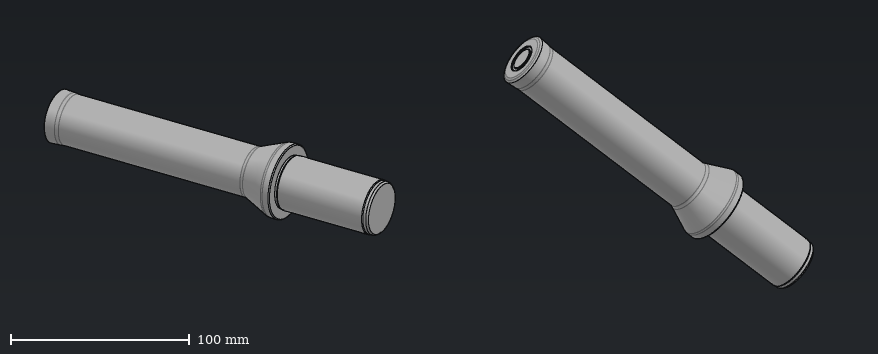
import cadquery as cq

total_length = 211.0
face_rim_end = 0.5
nose_edge_end = 1.3
nose_taper_end = 7.5
barrel_start = 10.0
cone_blend_start = 127.7
cone_start = 129.8
cone_end = 145.0
flange_start = 146.2
flange_back = 150.7
relief_end = 152.0
shank_start = 152.5
shank_end = 207.2
pilot_start = 207.8

face_diameter = 26.2
face_rim_diameter = 29.0
nose_diameter = 31.5
barrel_diameter = 30.0
flange_diameter = 44.0
relief_diameter = 31.5
shank_diameter = 32.0
pilot_diameter = 31.5

nose_taper_drop = 0.5
cone_blend_rise = 0.6
flange_blend_rise = 0.2
flange_edge = 0.6
pilot_chamfer = 1.3
pilot_chamfer_drop = 0.8

recess_diameter = 16.0
recess_depth = 0.6
recess_chamfer = 0.5
plug_diameter = 13.3
plug_chamfer = 0.5
plug_length = 8.5


def make_body():
    """Stepped spindle: tapered nose, barrel, conical flange and shank."""
    barrel_radius = barrel_diameter / 2
    nose_radius = nose_diameter / 2
    flange_radius = flange_diameter / 2
    pilot_radius = pilot_diameter / 2
    profile = (
        cq.Workplane("XY")
        .moveTo(0, 0)
        .lineTo(0, face_diameter / 2)
        .lineTo(face_rim_end, face_rim_diameter / 2)
        .lineTo(nose_edge_end, nose_radius)
        .lineTo(nose_taper_end, nose_radius - nose_taper_drop)
        .lineTo(barrel_start, barrel_radius)
        .lineTo(cone_blend_start, barrel_radius)
        .tangentArcPoint((cone_start, barrel_radius + cone_blend_rise), relative=False)
        .lineTo(cone_end, flange_radius - flange_blend_rise)
        .lineTo(flange_start, flange_radius)
        .lineTo(flange_back - flange_edge, flange_radius)
        .lineTo(flange_back, flange_radius - flange_edge)
        .lineTo(flange_back, relief_diameter / 2)
        .lineTo(relief_end, relief_diameter / 2)
        .lineTo(shank_start, shank_diameter / 2)
        .lineTo(shank_end, shank_diameter / 2)
        .lineTo(pilot_start, pilot_radius)
        .lineTo(total_length - pilot_chamfer, pilot_radius)
        .lineTo(total_length, pilot_radius - pilot_chamfer_drop)
        .lineTo(total_length, 0)
        .close()
    )
    return profile.revolve(360, (0, 0, 0), (1, 0, 0))


def cut_recess(body):
    """Shallow chamfered recess in the nose with a bore for the plug."""
    recess = (
        cq.Workplane("XY")
        .lineTo(0, recess_diameter / 2 + recess_chamfer)
        .lineTo(recess_chamfer, recess_diameter / 2)
        .lineTo(recess_depth, recess_diameter / 2)
        .lineTo(recess_depth, 0)
        .close()
        .revolve(360, (0, 0, 0), (1, 0, 0))
    )
    bore = cq.Workplane("YZ").circle(plug_diameter / 2).extrude(plug_length)
    return body.cut(recess).cut(bore)


def make_plug():
    """Round plug, flush with the nose face and chamfered at its front edge."""
    return (
        cq.Workplane("YZ")
        .circle(plug_diameter / 2)
        .extrude(plug_length)
        .faces("<X")
        .chamfer(plug_chamfer)
    )


body = cut_recess(make_body())
plug = make_plug()
result = cq.Compound.makeCompound([body.val(), plug.val()])